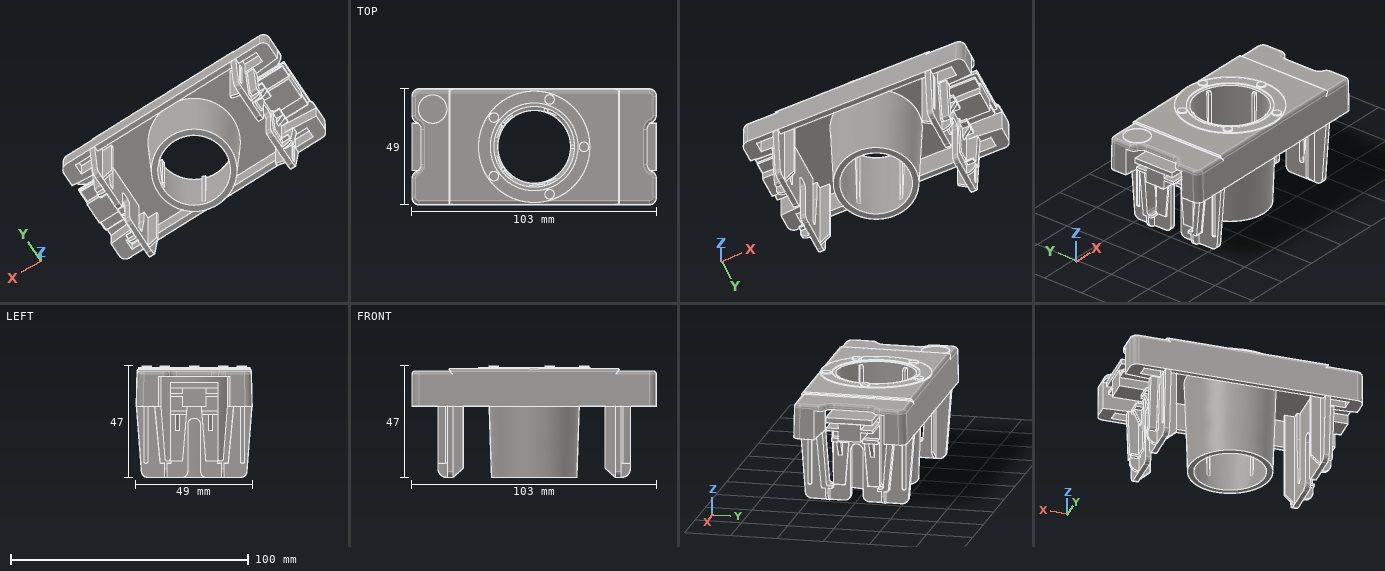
import math

import cadquery as cq

length = 103.0
rim_half_width = 24.5
side_draft = math.radians(1.4)
corner_radius = 3.0
end_top = 15.0
roof_underside = 12.65
wall = 2.2
top_fillet = 1.45

panel_top = 16.05
panel_half_length = 35.9
panel_end_chamfer = 0.45
undercut_bottom = 13.5
undercut_run = 1.5

pad_outer_diameter = 47.0
pad_inner_diameter = 37.0
pad_top = 16.45
pin_diameter = 4.0
pin_circle_radius = 21.0
pin_top = 17.0
pin_count = 5

leg_bottom = -30.0
tube_radius_at_rim = 19.05
tube_radius_at_bottom = 18.05
bore_top_diameter = 34.0
bore_bottom_diameter = 30.6
key_width = 1.5
key_inner_radius = 15.5
key_top = 15.0
key_round = 1.2

label_diameter = 12.0
label_center = (-42.8, 15.9)
label_depth = 0.2

notch_depth = 3.9
notch_floor_half = 7.4
notch_mouth_half = 13.2
pocket_mouth_half = 15.1
pocket_inner_half = 14.0

wall_outer = 36.6
wall_inner = 34.2
leg_half_width_at_rim = 24.4
leg_half_width_at_bottom = 22.1
leg_corner_radius = 2.8
leg_slot_half_width = 2.7
leg_slot_top = -5.0
leg_slot_flare = 2.6
groove_center = 20.35
groove_width = 1.7
groove_bottom = -24.0
groove_depth = 0.6

boss_face = 40.6
boss_bottom = -24.05
boss_outer_y = (16.7, 14.4)
boss_floor_inner_y = 9.8
boss_edge_fillet = 0.5
boss_foot_inset = 0.1
window_inner_y = 10.0
window_outer_y = (14.0, 12.3)
window_bottom = -23.05
pad_face = 37.4
pad_inner_y = (3.0, 4.9)
toe_y = (11.5, 12.6)
toe_radius = 3.8
inner_rib_y = (17.0, 18.1)
inner_rib_face = 29.8
inner_rib_chamfer_top = -26.0

handle_half_width = 10.0
handle_top_plate = (7.8, 10.1)
handle_lower_plate = (4.1, 5.35)
handle_web_half_width = 4.9
handle_setback = 0.8
stop_bar_z = (-3.5, -1.9)
stop_bar_inner_y = 3.3
gusset_y = (6.1, 7.8)
gusset_bottom = -10.1

half_length = length / 2


def box(x_range, y_range, z_range):
    """Box between the given limits."""
    size = [high - low for low, high in (x_range, y_range, z_range)]
    corner = (x_range[0], y_range[0], z_range[0])
    return cq.Workplane("XY").box(*size, centered=False).translate(corner)


def across(x_low):
    """YZ sketch plane at a given x, extruding towards +X."""
    return cq.Workplane("YZ").workplane(offset=x_low)


def cone(bottom_radius, top_radius, bottom_z, top_z):
    """Upright cone frustum on the Z axis."""
    return cq.Workplane(cq.Solid.makeCone(
        bottom_radius, top_radius, top_z - bottom_z, pnt=cq.Vector(0, 0, bottom_z)))


def disc(diameter, bottom_z, top_z):
    """Upright round disc on the Z axis."""
    return cq.Workplane("XY").workplane(offset=bottom_z).circle(diameter / 2).extrude(top_z - bottom_z)


def both_sides(shape, plane):
    """The shape together with its mirror image."""
    return shape.union(shape.mirror(plane))


def drafted_block(block_length, top_z):
    """Block with sides leaning inwards towards the top."""
    top_half = rim_half_width - top_z * math.tan(side_draft)
    return (
        across(-block_length / 2)
        .polyline([(-rim_half_width, 0), (rim_half_width, 0), (top_half, top_z), (-top_half, top_z)])
        .close()
        .extrude(block_length)
    )


def end_notch():
    """Roof notch at the -X end: straight floor and S-shaped sides of two tangent arcs."""
    half_run = (notch_mouth_half - notch_floor_half) / 2
    half_depth = notch_depth / 2
    arc_radius = (half_run**2 + half_depth**2) / (2 * half_depth)
    half_turn = math.asin(half_run / arc_radius) / 2
    mid_run = arc_radius * math.sin(half_turn)
    mid_depth = arc_radius * (1 - math.cos(half_turn))
    floor_x = -half_length + notch_depth
    middle_x = -half_length + half_depth
    middle_y = notch_floor_half + half_run
    concave = (floor_x - mid_depth, notch_floor_half + mid_run)
    convex = (-half_length + mid_depth, notch_mouth_half - mid_run)
    outside = -half_length - wall
    return (
        cq.Workplane("XY")
        .workplane(offset=roof_underside)
        .moveTo(outside, -notch_mouth_half)
        .lineTo(-half_length, -notch_mouth_half)
        .threePointArc((convex[0], -convex[1]), (middle_x, -middle_y))
        .threePointArc((concave[0], -concave[1]), (floor_x, -notch_floor_half))
        .lineTo(floor_x, notch_floor_half)
        .threePointArc(concave, (middle_x, middle_y))
        .threePointArc(convex, (-half_length, notch_mouth_half))
        .lineTo(outside, notch_mouth_half)
        .close()
        .extrude(end_top - roof_underside)
    )


def end_block():
    """Full-length outer block with notched ends and rounded top edges."""
    block = drafted_block(length, end_top)
    block = block.edges("(not |X) and (not |Y)").fillet(corner_radius)
    notch = end_notch()
    block = block.cut(notch).cut(notch.mirror("YZ"))
    block = block.faces(">Z").edges().fillet(top_fillet)
    return block


def raised_panel():
    """Middle panel with rounded long edges and undercut ends."""
    panel = drafted_block(2 * panel_half_length, panel_top)
    panel = panel.faces(">Z").edges("|X").fillet(top_fillet)
    foot = panel_half_length - undercut_run
    shoulder = panel_top - panel_end_chamfer
    tip = panel_half_length - panel_end_chamfer
    end_shape = (
        cq.Workplane("XZ")
        .polyline([
            (-foot, 0), (foot, 0), (foot, undercut_bottom), (panel_half_length, shoulder),
            (tip, panel_top), (-tip, panel_top), (-panel_half_length, shoulder), (-foot, undercut_bottom),
        ])
        .close()
        .extrude(rim_half_width, both=True)
    )
    return panel.intersect(end_shape)


def end_pocket():
    """Opening in the -X end wall, narrowing from its mouth to the leg wall."""
    return (
        cq.Workplane("XY")
        .polyline([(-half_length, -pocket_mouth_half), (-wall_outer, -pocket_inner_half),
                   (-wall_outer, pocket_inner_half), (-half_length, pocket_mouth_half)])
        .close()
        .extrude(roof_underside)
    )


def cover():
    """Hollow cover with the panel, the pad around the socket and an open pocket at each end."""
    pad_base = panel_top - top_fillet
    pad = disc(pad_outer_diameter, pad_base, pad_top)
    step = disc(pad_inner_diameter, panel_top, pad_top)
    label = disc(label_diameter, end_top - label_depth, end_top).translate((*label_center, 0))
    cavity_half_length = half_length - notch_depth - wall
    cavity_half_width = rim_half_width - wall - roof_underside * math.tan(side_draft)
    cavity = box((-cavity_half_length, cavity_half_length), (-cavity_half_width, cavity_half_width),
                 (0, roof_underside))
    shell = end_block().union(raised_panel()).union(pad).cut(step).cut(label)
    return shell.cut(cavity).cut(both_sides(end_pocket(), "YZ"))


def pins():
    """Ring of low round pins on the pad."""
    return (
        cq.Workplane("XY")
        .workplane(offset=panel_top)
        .polarArray(pin_circle_radius, 0, 360, pin_count)
        .circle(pin_diameter / 2)
        .extrude(pin_top - panel_top)
    )


def tube():
    """Outside of the socket tube, up to the roof."""
    spread = (tube_radius_at_rim - tube_radius_at_bottom) / -leg_bottom
    radius_at_roof = tube_radius_at_rim + spread * roof_underside
    return cone(tube_radius_at_bottom, radius_at_roof, leg_bottom, roof_underside)


def bore():
    """Tapered bore with inward keys left standing."""
    shape = cone(bore_bottom_diameter / 2, bore_top_diameter / 2, leg_bottom, panel_top)
    key_span = (key_inner_radius, bore_top_diameter / 2)
    key = box(key_span, (-key_width / 2, key_width / 2), (leg_bottom, key_top))
    key = key.edges("|Y and >Z and <X").fillet(key_round)
    for index in range(pin_count):
        shape = shape.cut(key.rotate((0, 0, 0), (0, 0, 1), index * 360 / pin_count))
    return shape


def leg_wall():
    """Half of the leg wall at the -X end, on the +Y side, with its groove and half of the slot."""
    thickness = wall_outer - wall_inner
    slot_round_z = leg_slot_top - leg_slot_half_width
    plate = (
        across(-wall_outer)
        .polyline([(0, 0), (leg_half_width_at_rim, 0), (leg_half_width_at_bottom, leg_bottom),
                   (leg_slot_half_width, leg_bottom), (leg_slot_half_width, slot_round_z),
                   (0, slot_round_z)])
        .close()
        .extrude(thickness)
    )
    plate = plate.edges("|X").edges("<Z").edges(">Y").fillet(leg_corner_radius)
    plate = plate.edges("|X").edges("<Z").edges("<Y").fillet(leg_slot_flare)
    slot_end = (
        across(-wall_outer)
        .center(0, slot_round_z)
        .circle(leg_slot_half_width)
        .extrude(thickness)
    )
    groove = (
        across(-wall_outer)
        .center(groove_center, groove_bottom / 2)
        .slot2D(-groove_bottom, groove_width, 90)
        .extrude(groove_depth)
    )
    groove_head = box((-wall_outer, -wall_outer + groove_depth),
                      (groove_center - groove_width / 2, groove_center + groove_width / 2),
                      (-groove_width, 0))
    return plate.cut(slot_end).cut(groove).cut(groove_head)


def boss():
    """Sloped boss on the outer face of the leg: a slightly smaller foot, a bar and a floor."""
    outer_rim, outer_bottom = boss_outer_y
    bar = (
        across(-boss_face)
        .polyline([(boss_floor_inner_y, 0), (outer_rim, 0), (outer_bottom, boss_bottom),
                   (boss_floor_inner_y, boss_bottom)])
        .close()
        .extrude(boss_face - pad_face)
    )
    bar = bar.edges("|X").edges("<Z").edges(">Y").fillet(boss_edge_fillet)
    foot_bottom = boss_bottom + boss_foot_inset
    foot = (
        across(-pad_face)
        .polyline([(boss_floor_inner_y, 0), (outer_rim - boss_foot_inset, 0),
                   (outer_bottom - boss_foot_inset, foot_bottom), (boss_floor_inner_y, foot_bottom)])
        .close()
        .extrude(pad_face - wall_outer)
    )
    open_side_y = (boss_floor_inner_y, (window_inner_y + window_outer_y[1]) / 2)
    open_side = box((-boss_face, -wall_outer), open_side_y, (window_bottom, 0))
    return bar.union(foot).cut(open_side)


def leg_window():
    """Tapered window with a round bottom, through the boss and the leg wall."""
    middle_y = (window_inner_y + window_outer_y[1]) / 2
    round_start = window_bottom + (window_outer_y[1] - window_inner_y) / 2
    return (
        across(-boss_face)
        .moveTo(window_inner_y, 0)
        .lineTo(window_inner_y, round_start)
        .threePointArc((middle_y, window_bottom), (window_outer_y[1], round_start))
        .lineTo(window_outer_y[0], 0)
        .close()
        .extrude(boss_face - wall_inner)
    )


def contact_pad():
    """Thin raised pad between the window and the middle slot."""
    return (
        across(-pad_face)
        .polyline([(pad_inner_y[0], 0), (window_inner_y, 0), (window_inner_y, window_bottom),
                   (pad_inner_y[1], window_bottom)])
        .close()
        .extrude(pad_face - wall_outer)
    )


def stop_bar():
    """Cross bar on the contact pad with a gusset under it."""
    bar = box((-boss_face, -pad_face), (stop_bar_inner_y, window_inner_y), stop_bar_z)
    gusset = (
        cq.Workplane("XZ", origin=(0, gusset_y[1], 0))
        .polyline([(-boss_face, stop_bar_z[0]), (-pad_face, stop_bar_z[0]), (-pad_face, gusset_bottom)])
        .close()
        .extrude(gusset_y[1] - gusset_y[0])
    )
    return bar.union(gusset)


def toe():
    """Thin rib with a rounded toe, under the boss floor."""
    rib = box((-boss_face, -wall_outer), toe_y, (leg_bottom, boss_bottom + boss_foot_inset))
    return rib.edges("|Y and <X and <Z").fillet(toe_radius)


def inner_rib():
    """Thin rib with a bevelled foot, on the inner face of the leg."""
    return (
        cq.Workplane("XZ", origin=(0, inner_rib_y[1], 0))
        .polyline([(-wall_inner, roof_underside), (-inner_rib_face, roof_underside),
                   (-inner_rib_face, inner_rib_chamfer_top), (-wall_inner, leg_bottom)])
        .close()
        .extrude(inner_rib_y[1] - inner_rib_y[0])
    )


def pocket_walls():
    """Cheek beside the pocket and the part of the leg wall that runs up to the roof."""
    cheek = (
        cq.Workplane("XY")
        .polyline([(-half_length + wall, pocket_mouth_half + wall), (-half_length, pocket_mouth_half),
                   (-wall_outer, pocket_inner_half), (-wall_outer, pocket_mouth_half + wall)])
        .close()
        .extrude(roof_underside)
    )
    web = box((-wall_outer, -wall_inner), (pocket_inner_half, rim_half_width - wall), (0, roof_underside))
    return cheek.union(web)


def handle():
    """Half of the finger handle, from the leg wall out to the end of the part."""
    width = (0, handle_half_width)
    column = box((-pad_face, -wall_inner), width, (0, handle_top_plate[1]))
    top_plate = box((-half_length, -wall_inner), width, handle_top_plate)
    front = -half_length + handle_setback
    lower_plate = box((front, -wall_inner), width, handle_lower_plate)
    web = box((front, -wall_inner), (0, handle_web_half_width), (0, handle_top_plate[0]))
    return column.union(top_plate).union(lower_plate).union(web)


def end_assembly():
    """Legs and handle of the -X end."""
    half = leg_wall().union(boss()).cut(leg_window())
    for piece in (contact_pad(), stop_bar(), toe(), inner_rib(), pocket_walls(), handle()):
        half = half.union(piece)
    return both_sides(half, "XZ")


ends = both_sides(end_assembly(), "YZ")
result = cover().union(pins()).union(tube()).union(ends).cut(bore())